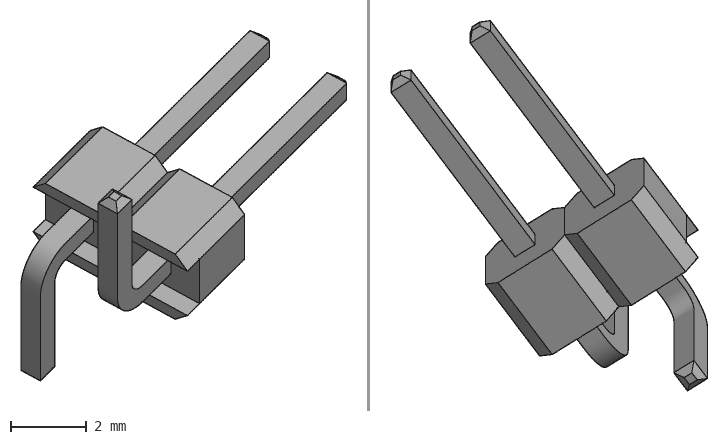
import cadquery as cq


PITCH = 2.54
CORNER_CUT = 0.4
RECESS_DEPTH = 0.54

PIN_WIDTH = 0.64
TIP_CUT = 0.2
PIN_REAR = 8.54
LEG_FRONT = 1.82
LEG_REACH = 4.27
BEND_INNER_RADIUS = 0.48

LEG_DIRECTIONS = (-1, 1)


def make_housing_cell():
    """Eight-sided block with a channel between its front chamfers."""
    block = (
        cq.Workplane("XY")
        .box(PITCH, PITCH, PITCH)
        .edges("|Y")
        .chamfer(CORNER_CUT)
        .translate((0, PITCH / 2, 0))
    )
    channel_height = PITCH - 2 * CORNER_CUT
    channel = (
        cq.Workplane("XY")
        .box(PITCH, RECESS_DEPTH, channel_height)
        .translate((0, RECESS_DEPTH / 2, 0))
    )
    return block.cut(channel)


def make_pin():
    """Square pin along Y, bent upward in front of the housing."""
    half = PIN_WIDTH / 2
    leg_outer = -LEG_FRONT
    leg_inner = leg_outer + PIN_WIDTH
    bend_y = leg_inner + BEND_INNER_RADIUS
    bend_z = half + BEND_INNER_RADIUS
    outer_radius = BEND_INNER_RADIUS + PIN_WIDTH
    pin = (
        cq.Workplane("YZ")
        .moveTo(PIN_REAR, -half)
        .lineTo(bend_y, -half)
        .radiusArc((leg_outer, bend_z), outer_radius)
        .lineTo(leg_outer, LEG_REACH)
        .lineTo(leg_inner, LEG_REACH)
        .lineTo(leg_inner, bend_z)
        .radiusArc((bend_y, half), -BEND_INNER_RADIUS)
        .lineTo(PIN_REAR, half)
        .close()
        .extrude(half, both=True)
    )
    pin = pin.faces(">Y").chamfer(TIP_CUT)
    return pin.faces(">Z").chamfer(TIP_CUT)


def make_header_way(index, leg_direction):
    """One cell joined to its pin, moved to its place in the row."""
    way = make_housing_cell().union(make_pin())
    if leg_direction < 0:
        way = way.mirror("XY")
    row_center = (len(LEG_DIRECTIONS) - 1) / 2
    return way.translate(((index - row_center) * PITCH, 0, 0))


header_ways = [make_header_way(i, direction) for i, direction in enumerate(LEG_DIRECTIONS)]

result = cq.Compound.makeCompound([way.val() for way in header_ways])